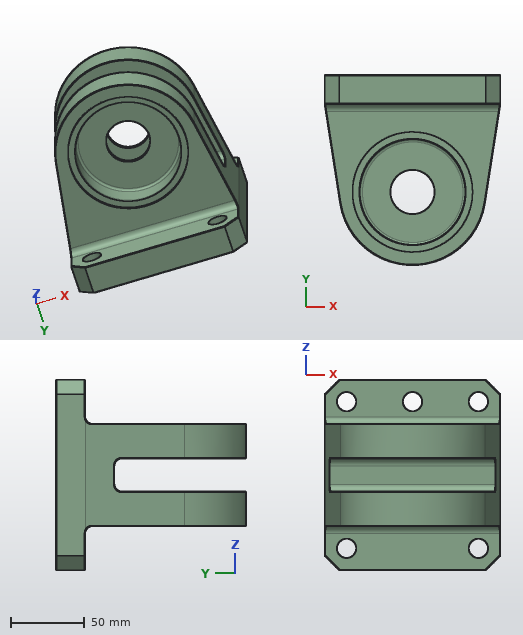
import cadquery as cq
import math

plate_width = 120.0
plate_height = 130.0
plate_thickness = 20.0
corner_chamfer = 10.0

mount_hole_diameter = 13.0
mount_hole_spacing = 45.0
mount_hole_inset = 15.0

pivot_y = -80.0
lug_radius = 50.0
clevis_height = 70.0
slot_height = 22.5
slot_floor_y = -40.0
fillet_radius = 5.0

through_diameter = 30.0
bearing_diameter = 72.0
cover_diameter = 82.0
cover_depth = 2.0
web_thickness = 3.0
bearing_floor_radius = 1.7
bearing_lead_in_width = 0.4
bearing_lead_in_depth = 1.4

edge_break = 0.5

half_width = plate_width / 2
half_clevis = clevis_height / 2
plate_front_y = -plate_thickness
embed_y = plate_front_y / 2
lug_tip_y = pivot_y - lug_radius


def make_plate():
    return (
        cq.Workplane("XY")
        .box(plate_width, plate_thickness, plate_height)
        .translate((0, plate_front_y / 2, 0))
        .edges("|Y").chamfer(corner_chamfer)
        .faces("|Y").edges().chamfer(edge_break)
    )


def make_outline_body():
    """Tapered outline seen along Z, with flanks tangent to the round end."""
    run = plate_front_y - pivot_y
    reach = math.hypot(half_width, run)
    tangent_angle = math.atan2(run, half_width) - math.acos(lug_radius / reach)
    tangent_x = lug_radius * math.cos(tangent_angle)
    tangent_y = pivot_y + lug_radius * math.sin(tangent_angle)
    return (
        cq.Workplane("XY", origin=(0, 0, -plate_height / 2))
        .moveTo(half_width, embed_y)
        .lineTo(half_width, plate_front_y)
        .lineTo(tangent_x, tangent_y)
        .threePointArc((0, lug_tip_y), (-tangent_x, tangent_y))
        .lineTo(-half_width, plate_front_y)
        .lineTo(-half_width, embed_y)
        .close()
        .extrude(plate_height)
    )


def make_side_profile_body():
    """Side profile seen along X, flaring into the plate with root fillets."""
    root_y = plate_front_y - fillet_radius
    root_z = half_clevis + fillet_radius
    return (
        cq.Workplane("YZ")
        .moveTo(embed_y, -root_z)
        .lineTo(plate_front_y, -root_z)
        .radiusArc((root_y, -half_clevis), -fillet_radius)
        .lineTo(lug_tip_y, -half_clevis)
        .lineTo(lug_tip_y, half_clevis)
        .lineTo(root_y, half_clevis)
        .radiusArc((plate_front_y, root_z), -fillet_radius)
        .lineTo(embed_y, root_z)
        .close()
        .extrude(half_width, both=True)
    )


def make_slot():
    slot_length = slot_floor_y - lug_tip_y
    return (
        cq.Workplane("XY")
        .box(plate_width, slot_length, slot_height)
        .translate((0, slot_floor_y - slot_length / 2, 0))
        .edges("|X and >Y").fillet(fillet_radius)
    )


def edges_between(back_y, front_y):
    """Selector for edges centred between two Y places."""
    return cq.selectors.BoxSelector(
        (-plate_width, front_y, -plate_height), (plate_width, back_y, plate_height)
    )


def make_clevis():
    clevis = make_outline_body().intersect(make_side_profile_body()).cut(make_slot())
    in_front_of_plate = edges_between(plate_front_y - edge_break, lug_tip_y)
    at_slot_floor = edges_between(slot_floor_y + edge_break, slot_floor_y - edge_break)
    rims = clevis.edges(in_front_of_plate).edges("not (|X or |Z)")
    slot_floor_ends = clevis.edges("|Z").edges(at_slot_floor)
    return rims.add(slot_floor_ends).chamfer(edge_break)


def make_lug_bore():
    """Stepped bore of the upper lug, revolved about the pivot axis."""
    through_radius = through_diameter / 2
    bearing_radius = bearing_diameter / 2
    cover_radius = cover_diameter / 2
    floor_z = slot_height / 2 + web_thickness
    cover_z = half_clevis - cover_depth
    return (
        cq.Workplane("XZ", origin=(0, pivot_y, 0))
        .lineTo(through_radius, 0)
        .lineTo(through_radius, floor_z)
        .lineTo(bearing_radius - bearing_floor_radius, floor_z)
        .radiusArc((bearing_radius, floor_z + bearing_floor_radius), -bearing_floor_radius)
        .lineTo(bearing_radius, cover_z - bearing_lead_in_depth)
        .lineTo(bearing_radius + bearing_lead_in_width, cover_z)
        .lineTo(cover_radius, cover_z)
        .lineTo(cover_radius, half_clevis)
        .lineTo(0, half_clevis)
        .close()
        .revolve(360, (0, 0, 0), (0, 1, 0))
    )


def make_mount_holes():
    hole_z = plate_height / 2 - mount_hole_inset
    top_row = [(x, hole_z) for x in (-mount_hole_spacing, 0, mount_hole_spacing)]
    bottom_row = [(x, -hole_z) for x in (-mount_hole_spacing, mount_hole_spacing)]
    return (
        cq.Workplane("XZ")
        .pushPoints(top_row + bottom_row)
        .circle(mount_hole_diameter / 2)
        .extrude(plate_thickness)
    )


upper_bore = make_lug_bore()
lower_bore = upper_bore.mirror("XY")

result = (
    make_plate()
    .union(make_clevis())
    .cut(upper_bore)
    .cut(lower_bore)
    .cut(make_mount_holes())
)